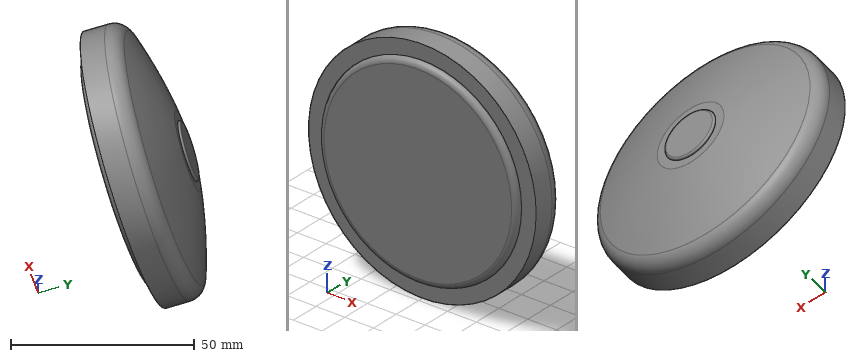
import cadquery as cq
import math

depth = 20.7
rim_radius = 39.5
pad_radius = 34.45
pad_height = 2.0
pad_fillet = 1.9
rim_end = 9.0
shoulder_radius = 4.8
dome_edge_slope = 19.5
flat_radius = 11.5
boss_radius = 8.7
boss_height = 0.7
boss_fillet = 0.6

flat_y = depth - boss_height
shoulder_center_x = rim_radius - shoulder_radius


def shoulder_point(angle):
    """Point on the shoulder arc, with the angle in degrees from the Y axis."""
    return (
        shoulder_center_x + shoulder_radius * math.sin(math.radians(angle)),
        rim_end + shoulder_radius * math.cos(math.radians(angle)),
    )


def disc(radius, start_y, height):
    """Disc on the Y axis, growing from start_y toward +Y."""
    return cq.Workplane("XZ", origin=(0, start_y, 0)).circle(radius).extrude(-height)


body = (
    cq.Workplane("XY")
    .moveTo(0, pad_height)
    .lineTo(rim_radius, pad_height)
    .lineTo(rim_radius, rim_end)
    .threePointArc(
        shoulder_point((dome_edge_slope + 90) / 2),
        shoulder_point(dome_edge_slope),
    )
    .tangentArcPoint((flat_radius, flat_y), relative=False)
    .lineTo(0, flat_y)
    .close()
    .revolve(360, (0, 0, 0), (0, 1, 0))
)

pad = disc(pad_radius, 0, pad_height).faces("<Y").edges().fillet(pad_fillet)
boss = disc(boss_radius, flat_y, boss_height).faces(">Y").edges().fillet(boss_fillet)

result = body.union(pad).union(boss)